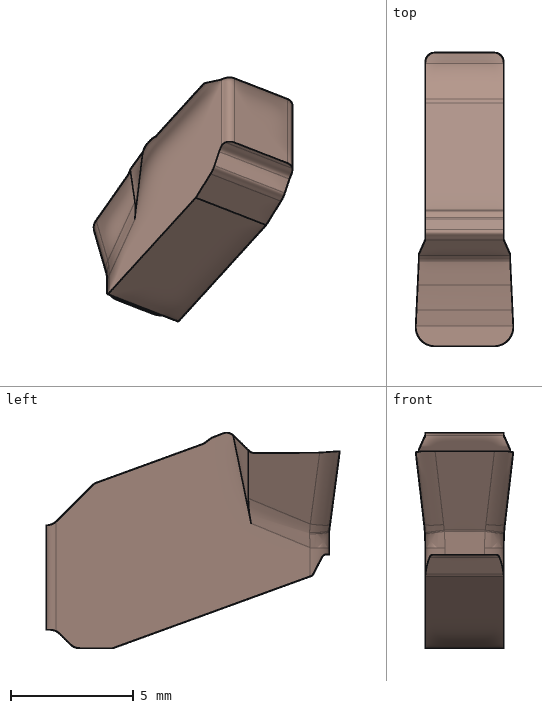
import cadquery as cq
import math


shank_half = 1.605
length = 12.01
back_bottom_z = 0.75
back_top_z = 5.03
body_slope = math.tan(math.radians(20))
heel_y = 9.27
base_end_y = 10.86
knee_y = 10.05
ledge_radius = 0.6
base_radius = 0.5
knee_radius = 0.5
back_corner_radius = 0.4

ridge_foot = (5.56, 8.3675)
ridge_shoulder = (5.25, 8.60)
ridge_peak = (4.54, 8.882)
ridge_foot_radius = 0.1
ridge_shoulder_radius = 0.3
ridge_radius = 0.4

rake_z = 7.985
rake_back_y = 3.63
rake_bend_y = 2.01
rake_bend_radius = 80.0
rake_root_radius = 0.3
land_y = 0.84
land_z = 8.0
tip_z = 8.06
front_y = 0.43
front_lean_z = 4.81
front_bend_radius = 0.4
step_z = 3.83
step_top_y = 0.67
step_foot_y = 1.12
step_radius = 0.2
step_clearance = 1.0
front_corner_radius = 0.8

flare_slant = 22.5
flare_angle = 6.8
flare_start = (1.22, 4.60)
flare_blend = 0.45
flare_reach = 8.0
head_margin = 3.0

touch_tolerance = 0.01

rear_top_inner = (shank_half, 4.36, 8.68)
rear_top_outer = (1.875, 3.745, 8.07)
rear_bottom = (shank_half, 3.65, 5.20)


def rounded_outline(plane, corners):
    """Closed outline from (u, v, radius) corners; radius 0 leaves the corner sharp."""
    stretches = []
    for i, (u, v, radius) in enumerate(corners):
        here = cq.Vector(u, v)
        to_previous = (cq.Vector(*corners[i - 1][:2]) - here).normalized()
        to_next = (cq.Vector(*corners[(i + 1) % len(corners)][:2]) - here).normalized()
        if radius == 0:
            stretches.append([here])
            continue
        half_angle = to_previous.getAngle(to_next) / 2
        setback = radius / math.tan(half_angle)
        bisector = (to_previous + to_next).normalized()
        middle = here + bisector * (radius / math.sin(half_angle) - radius)
        stretches.append([here + to_previous * setback, middle, here + to_next * setback])

    outline = cq.Workplane(plane).moveTo(stretches[0][-1].x, stretches[0][-1].y)
    for stretch in stretches[1:] + stretches[:1]:
        outline = outline.lineTo(stretch[0].x, stretch[0].y)
        if len(stretch) > 1:
            outline = outline.threePointArc(stretch[1].toTuple()[:2], stretch[2].toTuple()[:2])
    return outline.close()


def bottom_z(y):
    """Height of the raked bottom face at a given Y."""
    return body_slope * (heel_y - y)


def side_profile(half_width):
    """The whole side outline except the front step, as a slab of the given half width."""
    ridge_foot_y, ridge_foot_z = ridge_foot
    knee_z = ridge_foot_z - body_slope * (knee_y - ridge_foot_y)
    corners = [
        (base_end_y, 0, base_radius),
        (base_end_y + back_bottom_z, back_bottom_z, ledge_radius),
        (length, back_bottom_z, 0),
        (length, back_top_z, 0),
        (knee_y + knee_z - back_top_z, back_top_z, ledge_radius),
        (knee_y, knee_z, knee_radius),
        (*ridge_foot, ridge_foot_radius),
        (*ridge_shoulder, ridge_shoulder_radius),
        (*ridge_peak, ridge_radius),
        (rake_back_y, rake_z, rake_root_radius),
        (rake_bend_y, rake_z, rake_bend_radius),
        (land_y, land_z, 0),
        (0, tip_z, 0),
        (front_y, front_lean_z, front_bend_radius),
        (front_y, bottom_z(front_y), 0),
        (heel_y, 0, 0),
    ]
    return rounded_outline("YZ", corners).extrude(half_width, both=True)


def flare_section():
    """Prism along the flare slant: plate thickness below, leaning flanks above."""
    slant = math.radians(flare_slant)
    lean = math.radians(flare_angle)
    blend_radius = flare_blend / math.tan(lean / 2)
    top_half = shank_half + flare_reach * math.tan(lean)
    plane = cq.Plane(
        origin=(0, *flare_start),
        xDir=(1, 0, 0),
        normal=(0, -math.cos(slant), -math.sin(slant)),
    )
    corners = [
        (shank_half, -flare_reach, 0),
        (shank_half, 0, blend_radius),
        (top_half, flare_reach, 0),
        (-top_half, flare_reach, 0),
        (-shank_half, 0, blend_radius),
        (-shank_half, -flare_reach, 0),
    ]
    return rounded_outline(plane, corners).extrude(2 * length, both=True)


def rear_cutter():
    """Block behind the slanted rear face of the +X flare."""
    inner = cq.Vector(*rear_top_inner)
    down = cq.Vector(*rear_bottom) - inner
    outward = cq.Vector(*rear_top_outer) - inner
    plane = cq.Plane(origin=rear_top_inner, xDir=down, normal=outward.cross(down))
    size = 4 * length
    return cq.Workplane(plane).rect(size, size).extrude(size)


def flared_head():
    """The side outline within the flare, trimmed at the rear on both sides."""
    head = side_profile(head_margin).intersect(flare_section())
    cutter = rear_cutter()
    return head.cut(cutter).cut(cutter.mirror("YZ"))


def step_cutter():
    """Prism that notches the lower front edge, with its round-overs."""
    toe_y = front_y - step_clearance
    corners = [
        (toe_y, step_z, 0),
        (step_top_y, step_z, step_radius),
        (step_foot_y, bottom_z(step_foot_y), step_radius),
        (heel_y, 0, 0),
        (toe_y, 0, 0),
    ]
    return rounded_outline("YZ", corners).extrude(head_margin, both=True)


def is_front_corner(edge):
    """True for the side edges of the front face."""
    box = edge.BoundingBox()
    lies_in_front = box.ymax < front_y + touch_tolerance
    crosses_head = box.xmin < 0 < box.xmax
    return lies_in_front and not crosses_head


def round_front_corners(blank):
    corners = [edge for edge in blank.edges().vals() if is_front_corner(edge)]
    return blank.newObject(corners).fillet(front_corner_radius)


plate = side_profile(shank_half).edges("|Z and >Y").fillet(back_corner_radius)
blank = plate.union(flared_head())
result = round_front_corners(blank).cut(step_cutter())